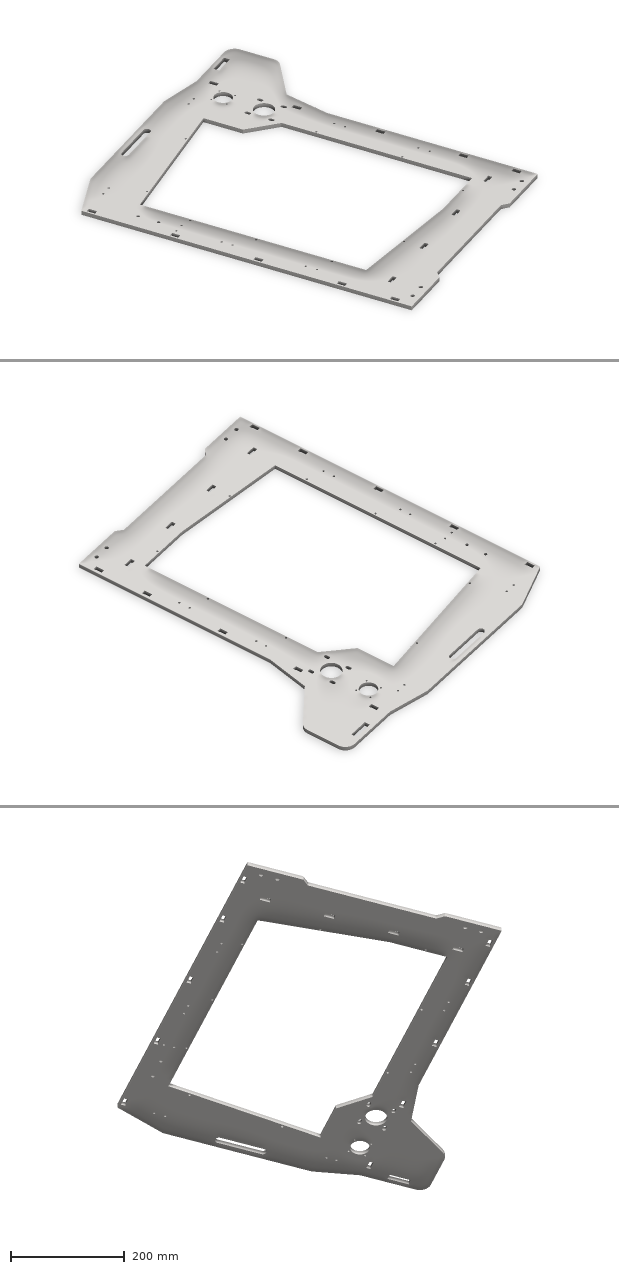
import cadquery as cq

length = 688.0
height = 584.5
thickness = 8.0
rail_top = 476.0

left_foot_x = 33.0
left_foot_y = 98.0
tower_x = 20.5
tower_bevel_bottom = 376.5
tower_bevel_top = 460.0
tower_right_x = 119.0
tower_corner_radius = 20.5
shoulder_x = 180.5
shoulder_y = 495.5
rail_start_x = 270.5
right_relief_depth = 11.0
relief_bottom = 104.5
relief_top = 370.0
relief_bevel = 12.5

window_bottom = 65.5
window_bottom_left_x = 115.0
window_bottom_right_x = 564.0
window_right_x = 593.0
window_right_bend_y = 301.5
window_top = 411.0
window_step_y = 361.0
window_step_left_x = 86.0
window_step_right_x = 164.5
window_top_left_x = 215.0

tab_slot_length = 16.5
tab_slot_width = 8.0
tab_slot_first_x = 50.0
tab_slot_pitch = 165.0
tab_slot_pitched_count = 4
tab_slot_last_x = 651.0
lower_tab_slot_y = 7.5
upper_tab_slot_y = 467.5
side_slot_length = 19.0
side_slot_x = 618.0
side_slot_first_y = 60.0
side_slot_pitch = 120.5
side_slot_count = 4

handle_center = (17.0, 237.5)
handle_length = 96.0
handle_width = 14.0
tower_slot_center = (34.5, 528.0)
tower_slot_length = 40.0
tower_slot_width = 11.0

motor_y = 435.0
small_motor_x = 86.0
small_motor_bore = 34.5
small_motor_pitch = 31.0
small_motor_hole = 3.5
large_motor_x = 167.0
large_motor_bore = 39.0
large_motor_pitch = 47.0
large_motor_slot_length = 12.0
large_motor_slot_width = 7.0
large_motor_slot_shift = 3.5

screw_hole = 4.0
screw_hole_centers = [
    (42.0, 407.5), (42.0, 389.0), (42.0, 87.0), (42.0, 66.0),
    (281.5, 414.5), (452.0, 414.5), (597.0, 368.0), (580.0, 177.0),
    (498.0, 61.0), (347.5, 61.0), (217.0, 61.0), (107.0, 108.0), (89.0, 288.5),
    (210.5, 40.5), (210.5, 21.0),
]
rail_hole_xs = [297.5, 319.0, 464.0, 487.0]
rail_hole_ys = [27.0, 452.0]
foot_hole = 6.0
foot_hole_centers = [(129.5, 31.0), (170.0, 31.0)]
corner_hole = 7.5
corner_hole_x = 674.0
corner_hole_ys = [31.0, 62.0, 414.0, 443.0]


def make_plate():
    relief_x = length - right_relief_depth
    outline = [
        (left_foot_x, 0),
        (length, 0),
        (length, relief_bottom),
        (relief_x, relief_bottom + relief_bevel),
        (relief_x, relief_top - relief_bevel),
        (length, relief_top),
        (length, rail_top),
        (rail_start_x, rail_top),
        (shoulder_x, shoulder_y),
        (tower_right_x, height),
        (tower_x, height),
        (tower_x, tower_bevel_top),
        (0, tower_bevel_bottom),
        (0, left_foot_y),
    ]
    plate = cq.Workplane("XY").polyline(outline).close().extrude(thickness)
    top_corner_edges = cq.selectors.BoxSelector(
        (0, shoulder_y + thickness, 0), (length, height + thickness, thickness)
    )
    return plate.edges("|Z").edges(top_corner_edges).fillet(tower_corner_radius)


def make_window():
    outline = [
        (window_bottom_left_x, window_bottom),
        (window_bottom_right_x, window_bottom),
        (window_right_x, window_right_bend_y),
        (window_right_x, window_top),
        (window_top_left_x, window_top),
        (window_step_right_x, window_step_y),
        (window_step_left_x, window_step_y),
    ]
    return cq.Workplane("XY").polyline(outline).close().extrude(thickness)


def round_cutters(centers, diameter):
    return cq.Workplane("XY").pushPoints(centers).circle(diameter / 2).extrude(thickness)


def rect_cutters(centers, size_x, size_y):
    return cq.Workplane("XY").pushPoints(centers).rect(size_x, size_y).extrude(thickness)


def slot_cutters(centers, slot_length, slot_width, angle=0):
    return cq.Workplane("XY").pushPoints(centers).slot2D(slot_length, slot_width, angle).extrude(thickness)


def square_pattern(center_x, center_y, pitch):
    half = pitch / 2
    return [(center_x + sx * half, center_y + sy * half) for sx in (-1, 1) for sy in (-1, 1)]


tab_slot_xs = [tab_slot_first_x + i * tab_slot_pitch for i in range(tab_slot_pitched_count)] + [tab_slot_last_x]
tab_slot_centers = [(x, y) for x in tab_slot_xs for y in (lower_tab_slot_y, upper_tab_slot_y)]
side_slot_centers = [(side_slot_x, side_slot_first_y + i * side_slot_pitch) for i in range(side_slot_count)]
rail_hole_centers = [(x, y) for x in rail_hole_xs for y in rail_hole_ys]
corner_hole_centers = [(corner_hole_x, y) for y in corner_hole_ys]
small_motor_holes = square_pattern(small_motor_x, motor_y, small_motor_pitch)
large_motor_slots = square_pattern(large_motor_x + large_motor_slot_shift, motor_y, large_motor_pitch)

cutters = [
    make_window(),
    rect_cutters(tab_slot_centers, tab_slot_length, tab_slot_width),
    rect_cutters(side_slot_centers, tab_slot_width, side_slot_length),
    rect_cutters([tower_slot_center], tower_slot_width, tower_slot_length),
    slot_cutters([handle_center], handle_length, handle_width, 90),
    round_cutters([(small_motor_x, motor_y)], small_motor_bore),
    round_cutters(small_motor_holes, small_motor_hole),
    round_cutters([(large_motor_x, motor_y)], large_motor_bore),
    slot_cutters(large_motor_slots, large_motor_slot_length, large_motor_slot_width),
    round_cutters(screw_hole_centers + rail_hole_centers, screw_hole),
    round_cutters(foot_hole_centers, foot_hole),
    round_cutters(corner_hole_centers, corner_hole),
]

result = make_plate()
for cutter in cutters:
    result = result.cut(cutter)